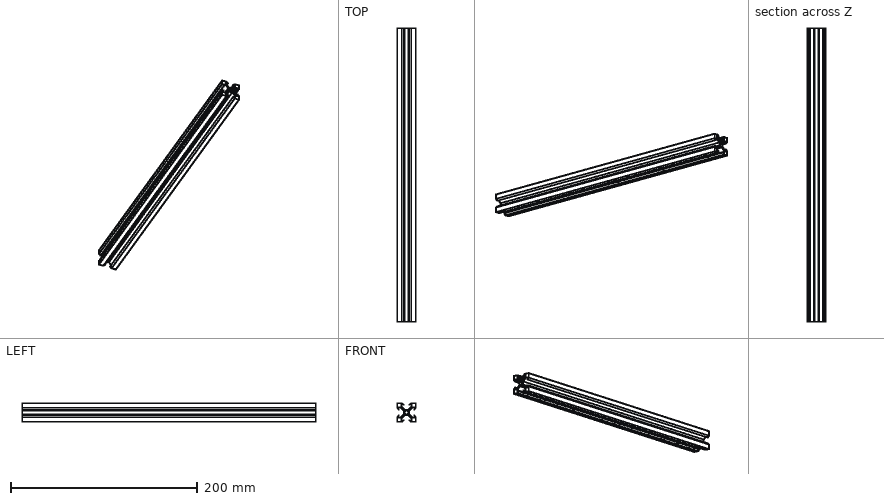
import cadquery as cq
import math

side = 20.0
length = 315.0

slot_mouth = 9.8
lip_thickness = 1.8
channel_width = 11.0
web_thickness = 1.5
core_width = 5.6
bore_diameter = 4.2

half_side = side / 2
web_offset = web_thickness / math.sqrt(2)
lip_bottom = half_side - lip_thickness
slot_throat = slot_mouth - 2 * lip_thickness


def slot_cutter():
    """T-slot opening on the +Z face, running the full length, centred on the part axis."""
    core_top = core_width / 2
    right_edge = [
        (core_top - web_offset, core_top),
        (channel_width / 2, channel_width / 2 + web_offset),
        (channel_width / 2, lip_bottom),
        (slot_throat / 2, lip_bottom),
        (slot_mouth / 2, half_side),
    ]
    left_edge = [(-x, z) for x, z in reversed(right_edge)]
    outline = cq.Workplane("XZ").polyline(right_edge + left_edge).close()
    return outline.extrude(length / 2, both=True)


def bore_cutter():
    """Central bore along the whole length."""
    return cq.Workplane("XZ").circle(bore_diameter / 2).extrude(length / 2, both=True)


result = cq.Workplane("XY").box(side, length, side)
for quarter_turn in range(4):
    slot = slot_cutter().rotate((0, 0, 0), (0, 1, 0), 90 * quarter_turn)
    result = result.cut(slot)
result = result.cut(bore_cutter())